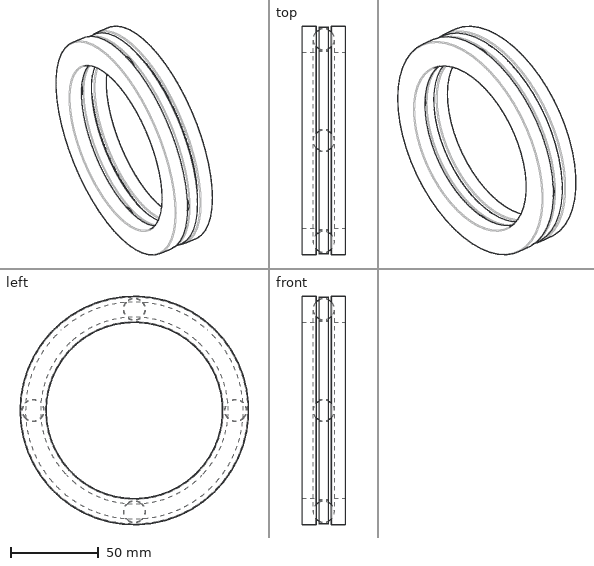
import cadquery as cq
import math


total_width = 25.0
outer_diameter = 130.0
bore_diameter = 100.0
washer_width = 8.3
cage_outer_diameter = 129.0
cage_bore_diameter = 101.0
cage_width = 5.6
ball_diameter = 12.0
pocket_diameter = 12.6
ball_count = 4
washer_edge_round = 0.5
cage_edge_round = 0.4

ball_radius = ball_diameter / 2
pitch_radius = (outer_diameter + bore_diameter) / 4
washer_offset = (total_width - washer_width) / 2
ball_spacing = 360 / ball_count


def make_ring(outer, bore, width, center_x, edge_round):
    """Flat ring around X with all four circular edges rounded."""
    return (
        cq.Workplane("YZ", origin=(center_x - width / 2, 0, 0))
        .circle(outer / 2)
        .circle(bore / 2)
        .extrude(width)
        .edges("%CIRCLE")
        .fillet(edge_round)
    )


def make_raceway():
    """Torus swept by the balls, which cuts the groove in each washer."""
    return cq.Workplane(
        cq.Solid.makeTorus(pitch_radius, ball_radius, cq.Vector(0, 0, 0), cq.Vector(1, 0, 0))
    )


def make_washer(side):
    """Washer with a raceway groove facing the balls; side is -1 or 1 along X."""
    ring = make_ring(outer_diameter, bore_diameter, washer_width, side * washer_offset, washer_edge_round)
    return ring.cut(make_raceway())


def ball_position(index):
    """Y and Z of a ball centre on the pitch circle; the first lies on +Y."""
    angle = math.radians(index * ball_spacing)
    return pitch_radius * math.cos(angle), pitch_radius * math.sin(angle)


def make_ball(index):
    """Ball that sits in both raceway grooves."""
    y, z = ball_position(index)
    return cq.Workplane("XY").sphere(ball_radius).translate((0, y, z))


def make_cage():
    """Ring between the washers with a loose axial through hole for each ball."""
    ring = make_ring(cage_outer_diameter, cage_bore_diameter, cage_width, 0, cage_edge_round)
    pockets = (
        cq.Workplane("YZ")
        .pushPoints([ball_position(index) for index in range(ball_count)])
        .circle(pocket_diameter / 2)
        .extrude(cage_width, both=True)
    )
    return ring.cut(pockets)


washers = [make_washer(side) for side in (-1, 1)]
balls = [make_ball(index) for index in range(ball_count)]
cage = make_cage()

result = cq.Compound.makeCompound(
    [
        *[washer.val() for washer in washers],
        cage.val(),
        *[ball.val() for ball in balls],
    ]
)